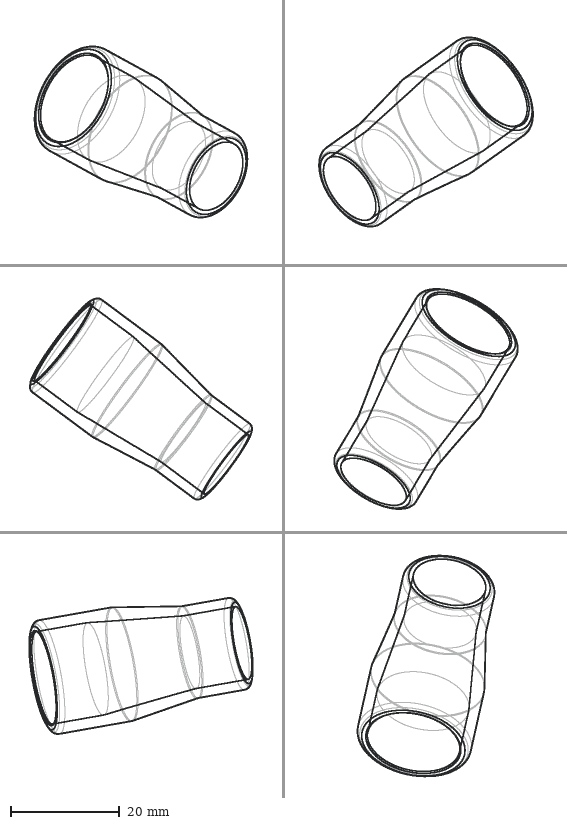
import cadquery as cq
import math

total_length = 38.0
large_length = 15.0
small_length = 10.0
small_start = total_length - small_length
large_bore_length = 10.0

large_radius = 21.3 / 2
small_radius = 17.2 / 2
large_bore_radius = 17.3 / 2
small_bore_radius = 13.6 / 2

rim_bevel_depth = 1.0
large_rim_bevel_angle = 30
small_rim_bevel_angle = 20
large_rim_bevel_length = rim_bevel_depth * math.tan(math.radians(large_rim_bevel_angle))
small_rim_bevel_length = rim_bevel_depth * math.tan(math.radians(small_rim_bevel_angle))

rim_round_radius = 1.0
taper_blend_radius = 1.6
mouth_chamfer = 0.25

edge_search_margin = 0.05


def revolve_about_x(profile):
    """Close a half profile along the X axis and revolve it a full turn."""
    return profile.close().revolve(360, (0, 0, 0), (1, 0, 0))


def round_edge_at(body, x, radius):
    """Round the circular edge that lies in the plane at x."""
    around_edge = cq.selectors.BoxSelector(
        (x - edge_search_margin, -large_radius, -large_radius),
        (x + edge_search_margin, large_radius, large_radius),
    )
    return body.edges("%CIRCLE").edges(around_edge).fillet(radius)


def outer_body():
    """Two cylinders joined by a taper, with bevelled and rounded end rims."""
    small_bevel_start = total_length - small_rim_bevel_length
    profile = (
        cq.Workplane("XY")
        .lineTo(0, large_radius - rim_bevel_depth)
        .lineTo(large_rim_bevel_length, large_radius)
        .lineTo(large_length, large_radius)
        .lineTo(small_start, small_radius)
        .lineTo(small_bevel_start, small_radius)
        .lineTo(total_length, small_radius - rim_bevel_depth)
        .lineTo(total_length, 0)
    )
    body = revolve_about_x(profile)
    for taper_end in (large_length, small_start):
        body = round_edge_at(body, taper_end, taper_blend_radius)
    for bevel_shoulder in (large_rim_bevel_length, small_bevel_start):
        body = round_edge_at(body, bevel_shoulder, rim_round_radius)
    return body


def through_bore():
    """Bore that tapers down to the small diameter, with a chamfered large mouth."""
    profile = (
        cq.Workplane("XY")
        .lineTo(0, large_bore_radius + mouth_chamfer)
        .lineTo(mouth_chamfer, large_bore_radius)
        .lineTo(large_bore_length, large_bore_radius)
        .lineTo(small_start, small_bore_radius)
        .lineTo(total_length, small_bore_radius)
        .lineTo(total_length, 0)
    )
    return revolve_about_x(profile)


result = outer_body().cut(through_bore())